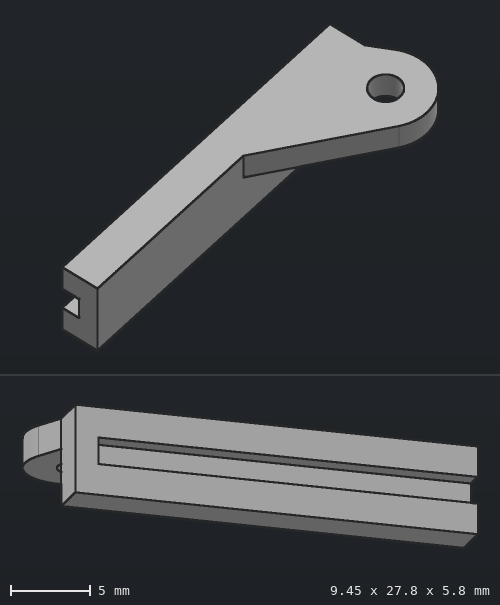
import cadquery as cq
import math

total_length = 27.8
total_width = 9.45
height = 5.8

bar_width = 2.85
bar_length = 26.5

ear_thickness = 2.03
ear_start_y = 14.45
eye_radius = 3.3
eye_hole_diameter = 2.3
eye_x = total_width - eye_radius
eye_y = total_length - eye_radius

slot_depth = 1.35
slot_length = 24.96
slot_height = height - 2 * ear_thickness


def tangent_point(x, y, side):
    """Point where a line from (x, y) touches the eye; side is +1 or -1, the turn seen from the eye centre."""
    dx = x - eye_x
    dy = y - eye_y
    angle = math.atan2(dy, dx) + side * math.acos(eye_radius / math.hypot(dx, dy))
    return eye_x + eye_radius * math.cos(angle), eye_y + eye_radius * math.sin(angle)


def make_bar():
    return cq.Workplane("XY").box(bar_width, bar_length, height, centered=False)


def make_ear():
    lower_tangent = tangent_point(bar_width, ear_start_y, 1)
    upper_tangent = tangent_point(bar_width, bar_length, -1)
    return (
        cq.Workplane("XY")
        .workplane(offset=height - ear_thickness)
        .moveTo(0, ear_start_y)
        .lineTo(bar_width, ear_start_y)
        .lineTo(*lower_tangent)
        .threePointArc((eye_x + eye_radius * math.cos(math.pi / 4),
                        eye_y + eye_radius * math.sin(math.pi / 4)), upper_tangent)
        .lineTo(bar_width, bar_length)
        .lineTo(0, bar_length)
        .close()
        .extrude(ear_thickness)
    )


def make_slot():
    return (
        cq.Workplane("XY")
        .box(slot_depth, slot_length, slot_height, centered=False)
        .translate((0, 0, ear_thickness))
    )


def make_eye_hole():
    return cq.Workplane("XY").center(eye_x, eye_y).circle(eye_hole_diameter / 2).extrude(height)


result = make_bar().union(make_ear()).cut(make_slot()).cut(make_eye_hole())